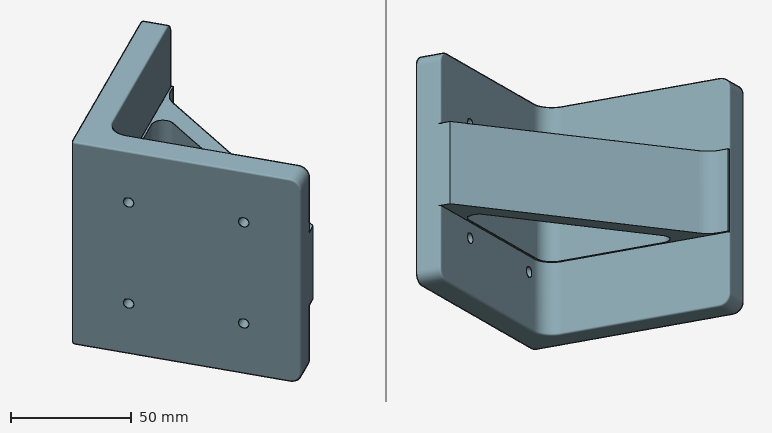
import cadquery as cq
import math

side = 100.0
plate_thickness = 12.0
outer_corner_radius = 2.0
inner_corner_radius = 8.0
plate_corner_radius = 5.0
rim_radius = 0.8

gusset_height = 36.0
lip = 1.0
lip_setback = 0.2
brace_low_y = 16.4
brace_high_y = 91.0
brace_width = 8.2
brace_end_radius = 10.0
window_tip_radius = 5.0

mount_hole_diameter = 4.5
mount_hole_spacing = 50.0

corner_hole_diameter = 3.3
corner_hole_inset = 5.0
corner_hole_depth = 9.0
drill_tip_half_angle = math.radians(59)

mid = side / 2
lip_face = plate_thickness + lip


def square_plates():
    """L-shaped body with rounded plate corners and rounded rims."""
    body = (
        cq.Workplane("XY")
        .polyline(
            [
                (0, 0),
                (side, 0),
                (side, plate_thickness),
                (plate_thickness, plate_thickness),
                (plate_thickness, side),
                (0, side),
            ]
        )
        .close()
        .extrude(side)
    )
    body = body.edges("|Z and <X and <Y").fillet(outer_corner_radius)
    inner_corner = cq.NearestToPointSelector((plate_thickness, plate_thickness, mid))
    body = body.edges(inner_corner).fillet(inner_corner_radius)
    body = body.faces(">X").edges("|Y").fillet(plate_corner_radius)
    body = body.faces(">Y").edges("|X").fillet(plate_corner_radius)
    return body.faces(">X").edges("|Z").fillet(rim_radius)


def gusset():
    """Triangular brace with a triangular window, centred on the plate height."""
    slope = (brace_high_y - brace_low_y) / (side - lip_face)
    window_high_y = brace_high_y - brace_width * math.hypot(1, slope)
    window_far_x = lip_face + (window_high_y - lip_face) / slope
    base = cq.Workplane("XY").workplane(offset=mid - gusset_height / 2)

    brace = (
        base.moveTo(plate_thickness / 2, plate_thickness / 2)
        .lineTo(side, plate_thickness / 2)
        .lineTo(side, brace_low_y)
        .lineTo(lip_face, brace_high_y)
        .lineTo(lip_face, side - lip_setback)
        .lineTo(plate_thickness / 2, side - lip_setback)
        .close()
        .extrude(gusset_height)
    )
    brace_end = cq.NearestToPointSelector((lip_face, brace_high_y, mid))
    brace = brace.edges(brace_end).fillet(brace_end_radius)

    window = (
        base.moveTo(lip_face, lip_face)
        .lineTo(window_far_x, lip_face)
        .lineTo(lip_face, window_high_y)
        .close()
        .extrude(gusset_height)
    )
    window = window.edges("|Z and (>X or >Y)").fillet(window_tip_radius)
    square_corner = cq.NearestToPointSelector((lip_face, lip_face, mid))
    window = window.edges(square_corner).fillet(inner_corner_radius - lip)
    return brace.cut(window)


def mount_holes():
    """Four holes through the -Y plate on a centred square."""
    return (
        cq.Workplane("XZ", origin=(mid, 0, mid))
        .rarray(mount_hole_spacing, mount_hole_spacing, 2, 2)
        .circle(mount_hole_diameter / 2)
        .extrude(-2 * plate_thickness)
    )


def corner_holes():
    """Four drilled holes with conical ends in the outer face of the -X plate."""
    radius = corner_hole_diameter / 2
    tip_depth = corner_hole_depth + radius / math.tan(drill_tip_half_angle)
    drill = (
        cq.Workplane("XY")
        .polyline([(0, 0), (0, radius), (corner_hole_depth, radius), (tip_depth, 0)])
        .close()
        .revolve(360, (0, 0, 0), (1, 0, 0))
        .val()
    )
    spots = (corner_hole_inset, side - corner_hole_inset)
    holes = cq.Workplane("XY")
    for y in spots:
        for z in spots:
            holes = holes.add(drill.translate((0, y, z)))
    return holes.combine()


result = square_plates().union(gusset()).cut(mount_holes()).cut(corner_holes())